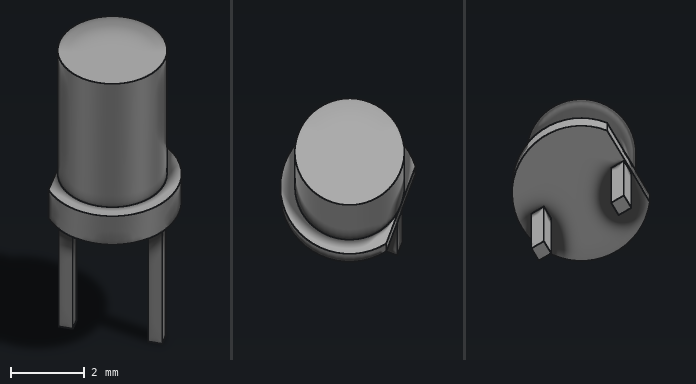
import cadquery as cq

total_height = 9.8
lens_diameter = 3.0
flange_diameter = 3.79
flange_height = 1.0
lead_length = 4.5
lead_width = 0.4
lead_pitch = 2.54

lens_radius = lens_diameter / 2
lens_top = total_height - lead_length


def make_flange():
    """Round flange with a flat on the -X side, tangent to the lens."""
    disc = cq.Workplane("XY").circle(flange_diameter / 2).extrude(flange_height)
    outside_flat = (
        cq.Workplane("XY")
        .center(-lens_radius, 0)
        .rect(flange_diameter, flange_diameter)
        .extrude(flange_height)
        .translate((-flange_diameter / 2, 0, 0))
    )
    return disc.cut(outside_flat)


def make_lens():
    """Flat-topped cylinder running up through the flange."""
    return cq.Workplane("XY").circle(lens_radius).extrude(lens_top)


def make_leads():
    """Two square leads hanging below the flange."""
    return (
        cq.Workplane("XY")
        .pushPoints([(-lead_pitch / 2, 0), (lead_pitch / 2, 0)])
        .rect(lead_width, lead_width)
        .extrude(-lead_length)
    )


result = make_flange().union(make_lens()).union(make_leads())